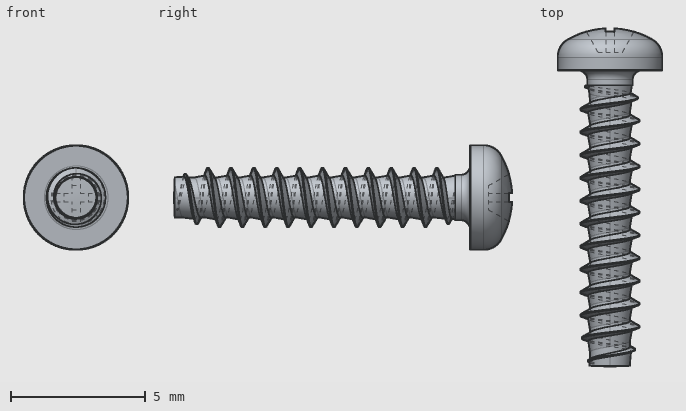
import math

import cadquery as cq


head_radius = 1.95
head_height = 1.577
rim_height = 0.5
rim_chamfer = 0.03
shoulder_radius = 0.76

wing_width = 0.32
wing_reach = 0.95
recess_floor_reach = 0.45
recess_depth = 0.9

shank_length = 11.0
tip_cone_height = 0.03
core_end = tip_cone_height - shank_length
trim_allowance = 1.0
neck_radius = 0.85
neck_fillet = 0.33
neck_end = -0.55
core_radius = 0.75
run_in_radius = 0.82
run_in_end = -0.95

pitch = 0.85
crest_radius = 1.1
crest_flat = 0.04
root_radius = 0.82
head_flank_width = 0.22
tip_flank_width = 0.12
bare_core_width = 0.12
root_overlap = 0.005
buried_radius = 0.68
buried_flank_width = 0.04
first_crest_y = -1.015
first_turn = -0.75
last_turn = 11.6
run_in_turns = 1.0
run_out_turns = 1.3
start_share = 0.35
end_share = 0.15
points_per_turn = 16


def make_head():
    """Head and neck as one revolved outline."""
    shoulder_x = head_radius - shoulder_radius
    shoulder_drop = head_height - rim_height
    dome_radius = (shoulder_x**2 + shoulder_drop**2 - shoulder_radius**2) / (
        2 * (shoulder_drop - shoulder_radius)
    )
    dome_center_y = head_height - dome_radius
    join_angle = math.atan2(rim_height - dome_center_y, shoulder_x)

    def on_dome(angle):
        return (dome_radius * math.cos(angle), dome_center_y + dome_radius * math.sin(angle))

    def on_shoulder(angle):
        return (
            shoulder_x + shoulder_radius * math.cos(angle),
            rim_height + shoulder_radius * math.sin(angle),
        )

    fillet_x = neck_radius + neck_fillet
    fillet_mid = neck_fillet * math.sqrt(0.5)
    outline = (
        cq.Workplane("XY")
        .moveTo(0, neck_end)
        .lineTo(neck_radius, neck_end)
        .lineTo(neck_radius, -neck_fillet)
        .threePointArc((fillet_x - fillet_mid, fillet_mid - neck_fillet), (fillet_x, 0))
        .lineTo(head_radius - rim_chamfer, 0)
        .lineTo(head_radius, rim_chamfer)
        .lineTo(head_radius, rim_height)
        .threePointArc(on_shoulder(join_angle / 2), on_shoulder(join_angle))
        .threePointArc(on_dome((join_angle + math.pi / 2) / 2), (0, head_height))
        .close()
    )
    return outline.revolve(360, (0, 0, 0), (0, 1, 0))


def make_recess():
    """Cross recess whose wings narrow toward the floor."""
    half_width = wing_width / 2
    floor_y = head_height - recess_depth
    wing = (
        cq.Workplane("XY")
        .polyline([
            (-wing_reach, head_height),
            (-recess_floor_reach, floor_y),
            (recess_floor_reach, floor_y),
            (wing_reach, head_height),
        ])
        .close()
        .extrude(half_width, both=True)
    )
    return wing.union(wing.rotate((0, 0, 0), (0, 1, 0), 90))


def height_share(turn):
    """Share of the full thread height at a turn, faded in at the neck and out at the tip."""
    run_in = start_share + (1 - start_share) * (turn - first_turn) / run_in_turns
    run_out = end_share + (1 - end_share) * (last_turn - turn) / run_out_turns
    return min(1, run_in, run_out)


def thread_profile(turn):
    """Corners (radius, axial offset from the crest) of the thread section at a turn."""
    share = height_share(turn)
    root = core_radius + (root_radius - core_radius) * share
    crest = core_radius + (crest_radius - core_radius) * share
    head_flank = head_flank_width * share
    taper_start = -tip_flank_width * share
    taper_end = head_flank_width + bare_core_width - pitch
    slope = (root - core_radius) / (taper_start - taper_end)
    return [
        (buried_radius, head_flank + buried_flank_width),
        (crest, crest_flat / 2 * share),
        (crest, -crest_flat / 2 * share),
        (root, taper_start),
        (core_radius - root_overlap, taper_end - root_overlap / slope),
        (buried_radius, taper_end - root_overlap / slope),
    ]


def thread_corner(turn, index):
    radius, offset = thread_profile(turn)[index]
    angle = 2 * math.pi * turn
    return cq.Vector(
        radius * math.cos(angle),
        first_crest_y - pitch * turn + offset,
        radius * math.sin(angle),
    )


def section_face(turn):
    corners = [thread_corner(turn, index) for index in range(len(thread_profile(turn)))]
    return cq.Face.makeFromWires(cq.Wire.makePolygon(corners, close=True))


def thread_stretch(start, end):
    """Ruled faces between the helices traced by the section corners from start to end."""
    steps = math.ceil((end - start) * points_per_turn)
    turns = [start + (end - start) * step / steps for step in range(steps + 1)]
    corner_count = len(thread_profile(start))
    helices = [
        cq.Edge.makeSpline([thread_corner(turn, index) for turn in turns])
        for index in range(corner_count)
    ]
    return [
        cq.Face.makeRuledSurface(helices[index - 1], helices[index])
        for index in range(corner_count)
    ]


def make_thread():
    """Right-hand thread built in stretches of one turn and closed by a section at both ends."""
    faces = [section_face(first_turn), section_face(last_turn)]
    for count in range(math.ceil(last_turn - first_turn)):
        start = first_turn + count
        faces += thread_stretch(start, min(start + 1, last_turn))
    return cq.Workplane(cq.Solid.makeSolid(cq.Shell.makeShell(faces)))


def make_core():
    """Core with the run-in cone, longer than the threaded length by the trim allowance at both ends."""
    run_in_slope = (run_in_radius - core_radius) / (neck_end - run_in_end)
    top_y = neck_end + trim_allowance
    bottom_y = core_end - trim_allowance
    outline = cq.Workplane("XY").polyline([
        (0, bottom_y),
        (core_radius, bottom_y),
        (core_radius, run_in_end),
        (core_radius + run_in_slope * (top_y - run_in_end), top_y),
        (0, top_y),
    ])
    return outline.close().revolve(360, (0, 0, 0), (0, 1, 0))


def make_threaded_shank():
    """Threaded core trimmed flat at the neck and at the tip."""
    limit = (
        cq.Workplane("XZ", origin=(0, neck_end, 0))
        .circle(2 * crest_radius)
        .extrude(neck_end - core_end)
    )
    return make_core().union(make_thread()).intersect(limit)


def make_tip():
    """Shallow cone on the end of the core."""
    outline = cq.Workplane("XY").polyline([
        (0, -shank_length),
        (core_radius, core_end),
        (0, core_end),
    ])
    return outline.close().revolve(360, (0, 0, 0), (0, 1, 0))


head = make_head().cut(make_recess())
result = head.union(make_threaded_shank()).union(make_tip())